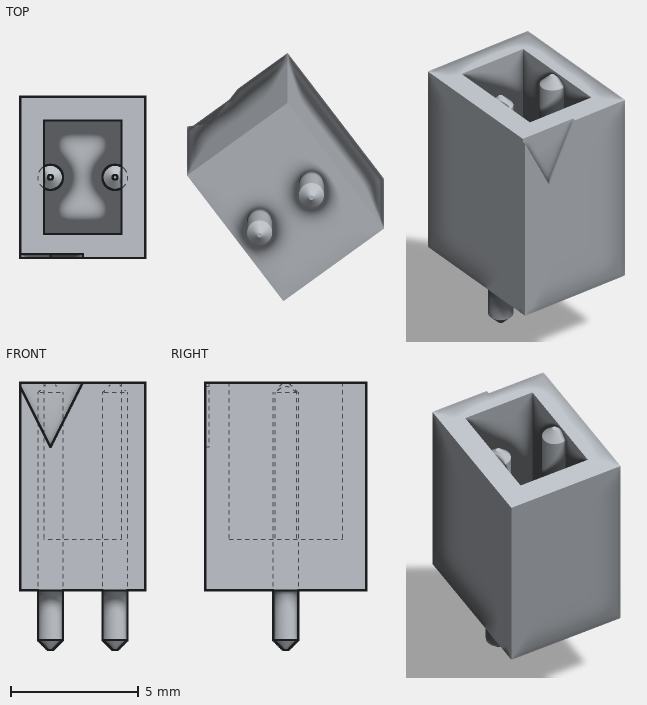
import cadquery as cq

housing_width = 4.93
housing_length = 6.35
housing_height = 8.17
wall_thickness = 0.95
floor_thickness = 2.0
pocket_depth = housing_height - floor_thickness
pocket_width = housing_width - 2 * wall_thickness
pocket_length = housing_length - 2 * wall_thickness

pin_pitch = 2.54
pin_diameter = 0.99
pin_point_length = 0.4
pin_length = 10.52
pin_overhang = pin_length - housing_height
pin_positions = [(-pin_pitch / 2, 0), (pin_pitch / 2, 0)]

mark_width = pin_pitch
mark_height = 2.54
mark_depth = 0.15
mark_tip_x = -pin_pitch / 2


def make_pin(x, y):
    return (
        cq.Workplane("XY", origin=(x, y, -pin_overhang))
        .circle(pin_diameter / 2)
        .extrude(pin_length)
        .faces("<Z or >Z")
        .chamfer(pin_point_length)
    )


def make_mark_cutter():
    mark_tip_z = housing_height - mark_height
    return (
        cq.Workplane("XZ", origin=(mark_tip_x, -housing_length / 2, 0))
        .moveTo(0, mark_tip_z)
        .lineTo(mark_width / 2, housing_height)
        .lineTo(-mark_width / 2, housing_height)
        .close()
        .extrude(-mark_depth)
    )


def make_housing(pins):
    housing = (
        cq.Workplane("XY")
        .rect(housing_width, housing_length)
        .extrude(housing_height)
        .faces(">Z")
        .workplane()
        .rect(pocket_width, pocket_length)
        .cutBlind(-pocket_depth)
        .cut(make_mark_cutter())
    )
    for pin in pins:
        housing = housing.cut(pin)
    return housing


pins = [make_pin(x, y) for x, y in pin_positions]
housing = make_housing(pins)

result = cq.Compound.makeCompound([housing.val(), *[pin.val() for pin in pins]])